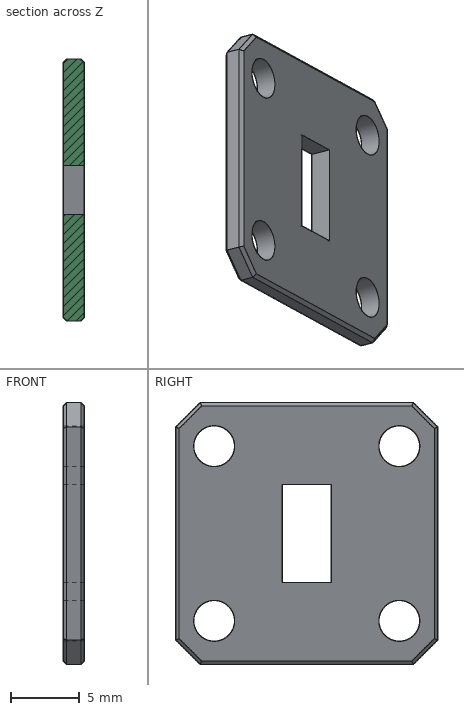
import cadquery as cq

thickness = 1.55
side = 19.05
corner_cut = 1.778
edge_chamfer = 0.254

opening_width = 3.556
opening_height = 7.112

hole_diameter = 2.95
hole_spacing_y = 13.46
hole_spacing_z = 12.70


def make_plate():
    """Square plate with cut corners and both face outlines chamfered."""
    plate = cq.Workplane("YZ").rect(side, side).extrude(thickness)
    plate = plate.edges("|X").chamfer(corner_cut)
    return plate.faces("<X or >X").edges().chamfer(edge_chamfer)


def make_opening():
    """Cutter for the rectangular opening through the plate."""
    return cq.Workplane("YZ").rect(opening_width, opening_height).extrude(thickness)


def make_bolt_holes():
    """Cutters for the four through holes."""
    return (
        cq.Workplane("YZ")
        .rect(hole_spacing_y, hole_spacing_z, forConstruction=True)
        .vertices()
        .circle(hole_diameter / 2)
        .extrude(thickness)
    )


result = make_plate().cut(make_opening()).cut(make_bolt_holes())